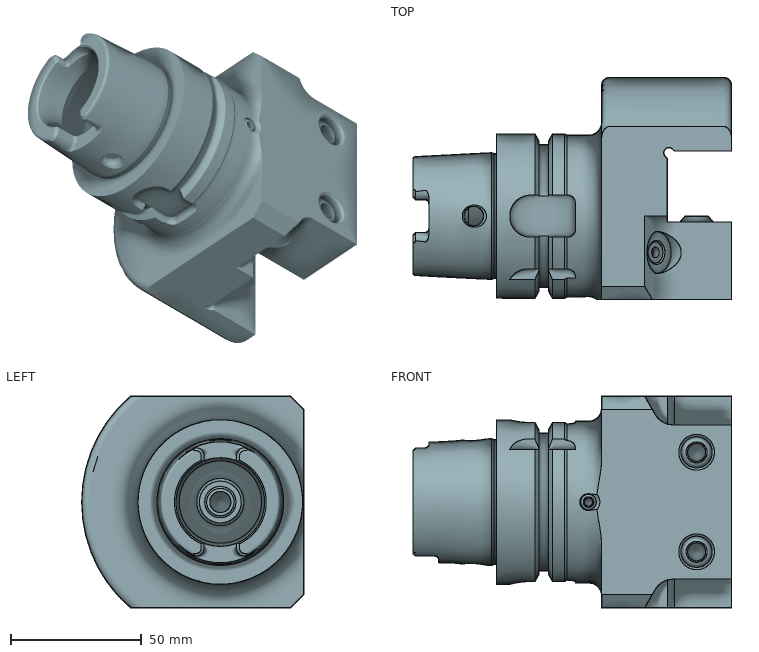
import cadquery as cq
import math


overall_length = 122.0
taper_length = 32.0
nose_x = -taper_length
end_x = overall_length - taper_length
block_x = 40.3

taper_base_radius = 24.3
taper_half_slope = 0.05
nose_round = 1.1
relief_length = 1.8
relief_depth = 0.4
face_relief_radius = 25.4
bore_mouth_radius = 17.6
bore_mouth_chamfer = 0.6
bore_throat_length = 12.9
bore_cavity_radius = 20.0
bore_cavity_slope = math.tan(math.radians(60))
bore_cavity_end_x = -4.9
bore_floor_radius = 15.7
bore_floor_x = 0.0

nut_diameter = 18.0
nut_chamfer = 1.04
nut_chamfer_length = 1.8
nut_front_x = -12.6
tube_diameter = 12.0
tube_chamfer = 0.7
tube_front_x = -14.0
tube_bore_diameter = 8.0
tube_bore_depth = 24.4

slot_half_width = 6.2
slot_flare_start = 17.7
slot_flare_radius = 3.0
slot_flare_run = 2.5
slot_floor_round = 1.5
slot_mouth_chamfer = 1.1
slot_depths = {1: 6.1, -1: 9.9}

access_hole_x = -8.7
access_hole_diameter = 7.5
access_mouth_diameter = 9.0

flange_radius = 31.5
neck_radius = 31.0
groove_foot_radius = 28.7
groove_floor_radius = 27.5
groove_left_x = 14.8
groove_right_x = 21.5
groove_flank_width = 1.6
neck_start_x = 27.0
neck_step_width = 0.9
neck_fillet = 4.9

key_end_x = 30.3
key_half_width = 8.0
key_corner_round = 3.0
key_floor_z = 26.4
key_start_x = 5.1
notch_start_x = 4.0
notch_wall_y = -20.3
notch_floor_z = 20.0

block_bottom_y = -32.0
block_round_radius = 53.1
block_half_height = 40.5
block_chamfer = 5.1
block_edge_round = 3.0

tool_slot_x = 65.4
tool_slot_top_y = 24.9
tool_slot_bottom_y = -2.2
corner_relief_radius = 2.0
corner_relief_offset = 0.67

jaw_half_height = 29.5
ramp_start_x = 56.7
ramp_angle = 60.0
ramp_round = 8.0

screw_x = 76.6
screw_z = 19.0
clamp_screw = {
    "diameter": 12.0,
    "mouth_diameter": 13.7,
    "head_depth": 2.5,
    "head_cone": 1.2,
    "head_flat_diameter": 8.0,
    "socket_diameter": 7.0,
    "socket_depth": 4.3,
}
screw_tip_base_diameter = 12.7
screw_tip_end_diameter = 8.9

nozzle_x = 61.2
nozzle_y = -13.9
nozzle_z = 31.4
nozzle_tilt = 45.0
nozzle_seat_diameter = 16.0
nozzle_mouth_diameter = 9.2
nozzle_screw_diameter = 8.0
nozzle_socket_diameter = 4.0
nozzle_socket_depth = 3.7

plug_x = 35.3
plug_screw = {
    "diameter": 6.0,
    "mouth_diameter": 6.7,
    "head_depth": 0.6,
    "head_cone": 0.6,
    "head_flat_diameter": 4.0,
    "socket_diameter": 3.2,
    "socket_depth": 2.5,
}

drill_tip_slope = math.tan(math.radians(30))
clearance = 12.2
mouth_flare = 1.2


def turned(points):
    """Solid of revolution about X, from (axial, radius) points."""
    outline = [(points[0][0], 0), *points, (points[-1][0], 0)]
    return cq.Workplane("XY").polyline(outline).close().revolve(360, (0, 0), (1, 0))


def placed(tool, origin, direction):
    """Turn a tool built along +X to the given direction and move it to the origin point."""
    yaw = math.degrees(math.atan2(direction[1], direction[0]))
    pitch = -math.degrees(math.atan2(direction[2], math.hypot(direction[0], direction[1])))
    tool = tool.rotate((0, 0, 0), (0, 1, 0), pitch)
    tool = tool.rotate((0, 0, 0), (0, 0, 1), yaw)
    return tool.translate(origin)


def drilled(diameter, depth, start=0.0):
    """Drill-shaped tool along +X with a conical tip after the full-diameter depth."""
    radius = diameter / 2
    full_end = start + depth
    body = turned([(start, radius), (full_end, radius)])
    tip = cq.Workplane(cq.Solid.makeCone(radius, 0, radius * drill_tip_slope, (full_end, 0, 0), (1, 0, 0)))
    return body.union(tip)


def make_block():
    flat_y = math.sqrt(block_round_radius**2 - block_half_height**2)
    block = (
        cq.Workplane("YZ", origin=(block_x, 0, 0))
        .moveTo(flat_y, block_half_height)
        .threePointArc((block_round_radius, 0), (flat_y, -block_half_height))
        .lineTo(block_bottom_y + block_chamfer, -block_half_height)
        .lineTo(block_bottom_y, -block_half_height + block_chamfer)
        .lineTo(block_bottom_y, block_half_height - block_chamfer)
        .lineTo(block_bottom_y + block_chamfer, block_half_height)
        .close()
        .extrude(end_x - block_x)
    )
    return block.edges("%CIRCLE").fillet(block_edge_round)


def make_shank():
    relief_x = -relief_length
    relief_radius = taper_base_radius - relief_depth
    nose_radius = taper_base_radius + taper_half_slope * (nose_x - relief_x)
    arc_mid = nose_round * (1 - math.sqrt(0.5))
    fillet_x = block_x - neck_fillet
    flare_mid_x = fillet_x + neck_fillet * math.sqrt(0.5)
    flare_mid_radius = neck_radius + neck_fillet * (1 - math.sqrt(0.5))
    shank = (
        cq.Workplane("XY")
        .moveTo(nose_x, 0)
        .lineTo(nose_x, nose_radius - nose_round)
        .threePointArc((nose_x + arc_mid, nose_radius - arc_mid), (nose_x + nose_round, nose_radius))
        .lineTo(relief_x, taper_base_radius)
        .lineTo(relief_x / 2, relief_radius)
        .lineTo(relief_depth, relief_radius)
        .lineTo(0, face_relief_radius)
        .lineTo(0, flange_radius)
        .lineTo(groove_left_x, flange_radius)
        .lineTo(groove_left_x + groove_flank_width, groove_foot_radius)
        .lineTo(groove_left_x + groove_flank_width, groove_floor_radius)
        .lineTo(groove_right_x - groove_flank_width, groove_floor_radius)
        .lineTo(groove_right_x - groove_flank_width, groove_foot_radius)
        .lineTo(groove_right_x, flange_radius)
        .lineTo(neck_start_x - neck_step_width, flange_radius)
        .lineTo(neck_start_x, neck_radius)
        .lineTo(fillet_x, neck_radius)
        .threePointArc((flare_mid_x, flare_mid_radius), (block_x, neck_radius + neck_fillet))
        .lineTo(block_x, 0)
        .close()
        .revolve(360, (0, 0), (1, 0))
    )
    below_block = cq.Workplane("XY").box(
        overall_length, clearance, 2 * block_half_height, centered=(False, False, True)
    ).translate((0, block_bottom_y - clearance, 0))
    return shank.cut(below_block)


def make_bore():
    """Clamping bore: a chamfered throat that opens at 60 degrees into a wider cavity."""
    throat_radius = bore_mouth_radius - bore_mouth_chamfer
    throat_end_x = nose_x + bore_throat_length
    cavity_x = throat_end_x + (bore_cavity_radius - throat_radius) / bore_cavity_slope
    return turned([
        (nose_x, bore_mouth_radius),
        (nose_x + bore_mouth_chamfer, throat_radius),
        (throat_end_x, throat_radius),
        (cavity_x, bore_cavity_radius),
        (bore_cavity_end_x, bore_cavity_radius),
        (bore_floor_x, bore_floor_radius),
    ])


def make_coolant_tube():
    nut_radius = nut_diameter / 2
    tube_radius = tube_diameter / 2
    return turned([
        (tube_front_x, tube_radius - tube_chamfer),
        (tube_front_x + tube_chamfer, tube_radius),
        (nut_front_x, tube_radius),
        (nut_front_x, nut_radius - nut_chamfer),
        (nut_front_x + nut_chamfer_length, nut_radius),
        (bore_floor_x, nut_radius),
    ])


def make_drive_slot(side):
    """Slot across the taper wall at the nose, flared outward at the taper surface."""
    root_z = bore_floor_radius - slot_mouth_chamfer
    flare_z = slot_flare_start + slot_flare_radius
    flare_y = slot_half_width + slot_flare_radius
    edge_y = flare_y + slot_flare_run
    arc_inset = slot_flare_radius * math.sqrt(0.5)
    mid_y = flare_y - arc_inset
    mid_z = slot_flare_start + arc_inset
    outline = (
        cq.Workplane("YZ", origin=(nose_x, 0, 0))
        .moveTo(-slot_half_width, root_z)
        .lineTo(slot_half_width, root_z)
        .lineTo(slot_half_width, slot_flare_start)
        .threePointArc((mid_y, mid_z), (flare_y, flare_z))
        .lineTo(edge_y, flare_z)
        .lineTo(edge_y, flange_radius)
        .lineTo(-edge_y, flange_radius)
        .lineTo(-edge_y, flare_z)
        .lineTo(-flare_y, flare_z)
        .threePointArc((-mid_y, mid_z), (-slot_half_width, slot_flare_start))
        .close()
    )
    outset = outline.val().offset2D(slot_mouth_chamfer)
    slot = outline.extrude(slot_depths[side]).faces(">X").edges().fillet(slot_floor_round)
    mouth = (
        cq.Workplane("YZ", origin=(nose_x, 0, 0))
        .newObject(outset)
        .toPending()
        .extrude(slot_mouth_chamfer, taper=45)
    )
    tool = slot.union(mouth)
    return tool if side > 0 else tool.mirror("XY")


def make_access_hole():
    """Countersunk hole along +X through the taper wall, starting outside it."""
    surface = taper_base_radius + taper_half_slope * access_hole_x
    mouth_radius = access_mouth_diameter / 2
    hole_radius = access_hole_diameter / 2
    return turned([
        (-surface - mouth_flare, mouth_radius + mouth_flare),
        (-surface + mouth_radius - hole_radius, hole_radius),
        (-bore_floor_radius, hole_radius),
    ])


def make_keyway(start_x, centre_y, floor_z):
    """Keyway cut along -Z: a round end towards the nose, small corner rounds at the far end."""
    arc_x = start_x + key_half_width
    return (
        cq.Workplane("XY", origin=(0, centre_y, floor_z))
        .moveTo(key_end_x, -key_half_width)
        .lineTo(arc_x, -key_half_width)
        .threePointArc((start_x, 0), (arc_x, key_half_width))
        .lineTo(key_end_x, key_half_width)
        .close()
        .extrude(clearance)
        .edges("|Z and >X")
        .fillet(key_corner_round)
    )


def make_tool_slot():
    slot = (
        cq.Workplane("XY")
        .moveTo(tool_slot_x, tool_slot_bottom_y)
        .lineTo(end_x, tool_slot_bottom_y)
        .lineTo(end_x, tool_slot_top_y)
        .lineTo(tool_slot_x, tool_slot_top_y)
        .close()
        .extrude(block_half_height, both=True)
    )
    relief_outline = (
        cq.Sketch()
        .circle(corner_relief_radius)
        .push([(corner_relief_radius, 0)])
        .rect(2 * corner_relief_radius, 2 * corner_relief_radius)
    )
    relief_x = tool_slot_x + corner_relief_offset
    relief_y = tool_slot_top_y - corner_relief_offset
    relief = (
        cq.Workplane("XY")
        .placeSketch(relief_outline)
        .extrude(block_half_height, both=True)
        .rotate((0, 0, 0), (0, 0, 1), -45)
        .translate((relief_x, relief_y, 0))
    )
    return slot.union(relief)


def make_jaw_corner():
    """Material removed above the jaw: a ramp, a tangent round and a flat, below y = 0."""
    angle = math.radians(ramp_angle)
    round_top_z = jaw_half_height + ramp_round * (1 - math.cos(angle))
    round_start_x = ramp_start_x + (block_half_height - round_top_z) / math.tan(angle)
    round_centre_x = round_start_x + ramp_round * math.sin(angle)
    mid_x = round_centre_x - ramp_round * math.sin(angle / 2)
    mid_z = jaw_half_height + ramp_round * (1 - math.cos(angle / 2))
    return (
        cq.Workplane("XZ")
        .moveTo(ramp_start_x, block_half_height)
        .lineTo(round_start_x, round_top_z)
        .threePointArc((mid_x, mid_z), (round_centre_x, jaw_half_height))
        .lineTo(end_x, jaw_half_height)
        .lineTo(end_x, block_half_height)
        .close()
        .extrude(-block_bottom_y)
    )


def make_nozzle_seat():
    """Counterbore square to the nozzle axis, with a countersunk rim and a blind socket."""
    seat = turned([(-clearance, nozzle_seat_diameter / 2), (0, nozzle_seat_diameter / 2)])
    sink = (nozzle_mouth_diameter - nozzle_screw_diameter) / 2
    rim = turned([(0, nozzle_mouth_diameter / 2), (sink, nozzle_screw_diameter / 2)])
    tool = seat.union(rim).union(drilled(nozzle_socket_diameter, nozzle_socket_depth))
    tilt = math.radians(nozzle_tilt)
    inward = (-math.sin(tilt), 0, -math.cos(tilt))
    return placed(tool, (nozzle_x, nozzle_y, nozzle_z), inward)


def make_screw_recess(screw, origin):
    """Space over a sunken screw along +Y: flared mouth, conical head edge and blind socket."""
    mouth_radius = screw["mouth_diameter"] / 2
    screw_radius = screw["diameter"] / 2
    head_end = screw["head_depth"] + screw["head_cone"]
    recess = turned([
        (-mouth_flare, mouth_radius + mouth_flare),
        (mouth_radius - screw_radius, screw_radius),
        (head_end, screw_radius),
    ])
    head = turned([
        (screw["head_depth"], screw["head_flat_diameter"] / 2),
        (head_end, screw_radius),
    ])
    socket = drilled(screw["socket_diameter"], screw["socket_depth"], screw["head_depth"])
    return placed(recess.cut(head).union(socket), origin, (0, 1, 0))


def make_screw_tip(z):
    """Conical screw end standing out of the jaw into the tool slot."""
    tip = turned([
        (0, screw_tip_base_diameter / 2),
        (-tool_slot_bottom_y, screw_tip_end_diameter / 2),
    ])
    return placed(tip, (screw_x, tool_slot_bottom_y, z), (0, 1, 0))


body = make_shank().union(make_block()).cut(make_bore())
for side in slot_depths:
    body = body.cut(make_drive_slot(side))
    hole_direction = (0, 0, -side)
    body = body.cut(placed(make_access_hole(), (access_hole_x, 0, 0), hole_direction))
body = body.union(make_coolant_tube())
tube_drill = drilled(tube_bore_diameter, tube_bore_depth)
body = body.cut(tube_drill.translate((tube_front_x, 0, 0)))

keyway = make_keyway(key_start_x, 0, key_floor_z)
body = body.cut(keyway).cut(keyway.mirror("XY"))
body = body.cut(make_keyway(notch_start_x, notch_wall_y - key_half_width, notch_floor_z))
body = body.cut(make_screw_recess(plug_screw, (plug_x, -neck_radius, 0)))

body = body.cut(make_tool_slot())
for corner_cut in (make_jaw_corner(), make_nozzle_seat()):
    body = body.cut(corner_cut).cut(corner_cut.mirror("XY"))
for z in (screw_z, -screw_z):
    recess = make_screw_recess(clamp_screw, (screw_x, block_bottom_y, z))
    body = body.cut(recess).union(make_screw_tip(z))

result = body